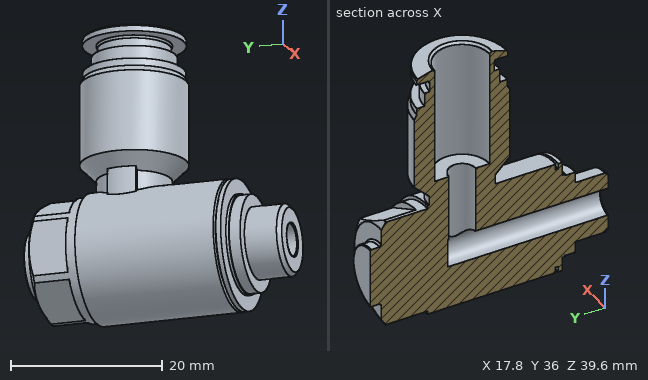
import cadquery as cq
import math


body_dia = 17.8
groove_dia = 16.05
washer_dia = 17.7
shoulder_dia = 13.5
collar_dia = 13.15
stem_dia = 9.75
stem_chamfer = 0.55
stem_bore_dia = 4.3
stem_bore_chamfer = 0.15

stem_tip_y = -22.1
collar_front_y = -17.05
collar_back_y = -15.52
washer_front_y = -15.13
washer_back_y = -14.45
body_front_y = -14.1
body_back_y = 5.23
hex_start_y = 6.7
hex_cone_y = 11.52
hex_end_y = 12.2
knob_straight_y = 12.47
knob_end_y = 13.85

hex_across_flats = 15.0
hex_rim_dia = 16.8
hex_face_dia = 14.75
knob_dia = 9.4
knob_flare = 0.28
knob_edge_chamfer = 0.1

neck_dia = 10.05
socket_dia = 14.5
ring_dia = 13.7
collet_base_dia = 11.4
collet_neck_dia = 9.8
collet_flare = 0.15
flange_dia = 13.8
flange_edge_chamfer = 0.15
tube_bore_dia = 8.2
tube_bore_chamfer = 0.35
passage_dia = 4.0

neck_top_z = 10.3
socket_bottom_z = 12.47
socket_top_z = 23.52
ring_bottom_z = 24.27
ring_top_z = 25.25
collet_base_top_z = 27.35
collet_neck_top_z = 28.67
flange_bottom_z = 29.03
flange_edge_z = 29.78
flange_shoulder_z = 30.0
top_z = 39.6 - body_dia / 2

rib_width = 4.0
rib_dia = 11.0


def revolve_about_y(outline):
    """Turn a closed (radius, y) outline around the Y axis."""
    return cq.Workplane("XY").polyline(outline).close().revolve(360, (0, 0), (0, 1))


def revolve_about_z(outline):
    """Turn a closed (radius, z) outline around the Z axis."""
    return cq.Workplane("XZ").polyline(outline).close().revolve(360, (0, 0), (0, 1))


def make_body():
    """Stem, collar, washer, groove and cylindrical body, up to the hexagon."""
    return revolve_about_y([
        (0, stem_tip_y),
        (stem_dia / 2 - stem_chamfer, stem_tip_y),
        (stem_dia / 2, stem_tip_y + stem_chamfer),
        (stem_dia / 2, collar_front_y),
        (collar_dia / 2, collar_front_y),
        (collar_dia / 2, collar_back_y),
        (shoulder_dia / 2, collar_back_y),
        (shoulder_dia / 2, washer_front_y),
        (washer_dia / 2, washer_front_y),
        (washer_dia / 2, washer_back_y),
        (groove_dia / 2, washer_back_y),
        (groove_dia / 2, body_front_y),
        (body_dia / 2, body_front_y),
        (body_dia / 2, body_back_y),
        (hex_rim_dia / 2, body_back_y),
        (hex_rim_dia / 2, hex_start_y),
        (0, hex_start_y),
    ])


def make_hexagon():
    """Hexagon with corners up and down, trimmed by a cylinder with a coned end."""
    length = hex_end_y - hex_start_y
    across_corners = hex_across_flats / math.cos(math.pi / 6)
    prism = (
        cq.Workplane("XZ", origin=(0, hex_start_y, 0))
        .transformed(rotate=(0, 0, 90))
        .polygon(6, across_corners)
        .extrude(-length)
    )
    envelope = revolve_about_y([
        (0, hex_start_y),
        (hex_rim_dia / 2, hex_start_y),
        (hex_rim_dia / 2, hex_cone_y),
        (hex_face_dia / 2, hex_end_y),
        (0, hex_end_y),
    ])
    return prism.intersect(envelope)


def make_knob():
    """Short round knob behind the hexagon, flared at its root."""
    return revolve_about_y([
        (0, hex_start_y),
        (knob_dia / 2, hex_start_y),
        (knob_dia / 2 + knob_flare, hex_end_y),
        (knob_dia / 2, knob_straight_y),
        (knob_dia / 2, knob_end_y - knob_edge_chamfer),
        (knob_dia / 2 - knob_edge_chamfer, knob_end_y),
        (0, knob_end_y),
    ])


def make_socket():
    """Neck, socket barrel and release collet, solid."""
    return revolve_about_z([
        (0, 0),
        (neck_dia / 2, 0),
        (neck_dia / 2, neck_top_z),
        (socket_dia / 2, socket_bottom_z),
        (socket_dia / 2, socket_top_z),
        (ring_dia / 2, ring_bottom_z),
        (ring_dia / 2, ring_top_z),
        (collet_base_dia / 2, ring_top_z),
        (collet_base_dia / 2, collet_base_top_z),
        (collet_neck_dia / 2, collet_base_top_z),
        (collet_neck_dia / 2, collet_neck_top_z),
        (collet_neck_dia / 2 + collet_flare, flange_bottom_z),
        (flange_dia / 2, flange_bottom_z),
        (flange_dia / 2, flange_edge_z),
        (flange_dia / 2 - flange_edge_chamfer, flange_shoulder_z),
        (tube_bore_dia / 2 + tube_bore_chamfer, top_z),
        (0, top_z),
    ])


def make_ribs():
    """Round-faced ribs on the -X and +X sides of the neck, ending where they meet the cone above."""
    cone_rise = socket_bottom_z - neck_top_z
    rib_top_z = neck_top_z + cone_rise * (rib_dia - neck_dia) / (socket_dia - neck_dia)
    cylinder = cq.Workplane("XY").circle(rib_dia / 2).extrude(rib_top_z)
    slab = cq.Workplane("XY").box(rib_dia, rib_width, 2 * rib_top_z)
    return cylinder.intersect(slab)


def make_stem_bore():
    """Bore from the stem tip to just past the far side of the vertical passage."""
    radius = stem_bore_dia / 2
    return revolve_about_y([
        (0, stem_tip_y),
        (radius + stem_bore_chamfer, stem_tip_y),
        (radius, stem_tip_y + stem_bore_chamfer),
        (radius, radius),
        (0, radius),
    ])


def make_socket_bore():
    """Tube bore with a chamfered mouth and a narrower passage down to the stem bore."""
    return revolve_about_z([
        (0, 0),
        (passage_dia / 2, 0),
        (passage_dia / 2, socket_bottom_z),
        (tube_bore_dia / 2, socket_bottom_z),
        (tube_bore_dia / 2, top_z - tube_bore_chamfer),
        (tube_bore_dia / 2 + tube_bore_chamfer, top_z),
        (0, top_z),
    ])


solid = make_body()
for section in (make_hexagon(), make_knob(), make_socket(), make_ribs()):
    solid = solid.union(section)
result = solid.cut(make_stem_bore()).cut(make_socket_bore())